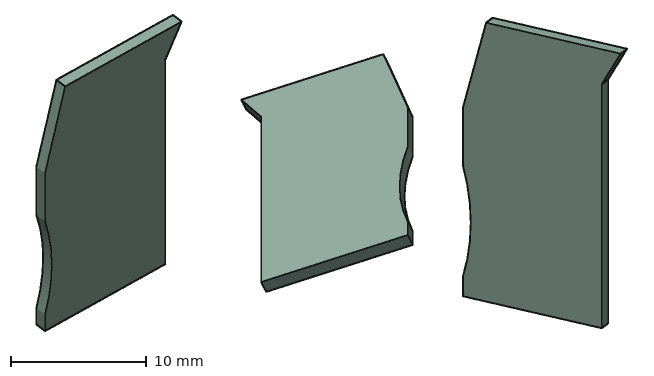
import cadquery as cq

thickness = 1.0
height = 22.65
total_width = 13.25

body_width = 11.66
flare_start_z = 19.82

slope_setback = 1.95
slope_start_z = 15.31
recess_bottom_z = 1.6
recess_top_z = 10.62
recess_depth = 0.65
recess_middle_z = (recess_bottom_z + recess_top_z) / 2

profile = (
    cq.Workplane("YZ")
    .moveTo(0, 0)
    .lineTo(0, recess_bottom_z)
    .threePointArc((recess_depth, recess_middle_z), (0, recess_top_z))
    .lineTo(0, slope_start_z)
    .lineTo(slope_setback, height)
    .lineTo(total_width, height)
    .lineTo(body_width, flare_start_z)
    .lineTo(body_width, 0)
    .close()
)

result = profile.extrude(thickness / 2, both=True)